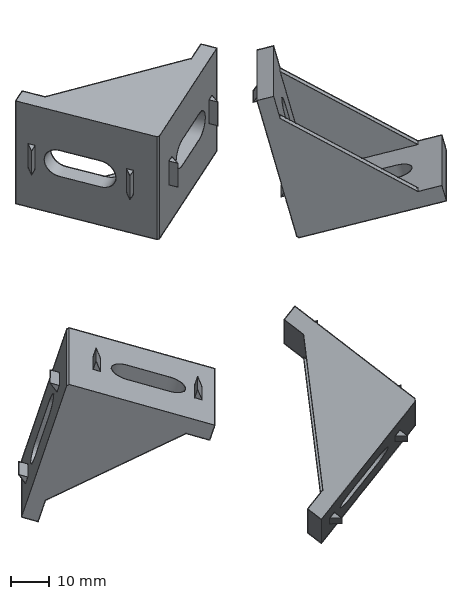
import cadquery as cq

overall = 42.5
height = 34.0
tooth_depth = 2.5
leg_thickness = 4.5
gusset_thickness = 2.5
gusset_setback = 6.4
corner_chamfer = 0.5

slot_length = 20.0
slot_width = 8.6
slot_setback = 18.0

tooth_setback = 3.5
tooth_width = 2.0
tooth_height = 7.85
tooth_pitch = 27.5

leg_length = overall - tooth_depth
half_height = height / 2


def make_tooth(start_x):
    """Wedge on the outer face, sloping out to an edge on its corner side."""
    edge_x = start_x + tooth_width
    return (
        cq.Workplane("XY")
        .polyline([(start_x, 0), (edge_x, 0), (edge_x, -tooth_depth)])
        .close()
        .extrude(tooth_height / 2, both=True)
    )


def make_leg():
    """Leg along -X with its outer face on Y = 0, slotted and toothed."""
    leg = cq.Workplane("XY").box(
        leg_length, leg_thickness, height, centered=(False, False, True)
    ).translate((-leg_length, 0, 0))
    slot = (
        cq.Workplane("XZ")
        .center(-leg_length + slot_setback, 0)
        .slot2D(slot_length, slot_width)
        .extrude(-leg_thickness)
    )
    leg = leg.cut(slot)
    for index in range(2):
        leg = leg.union(make_tooth(-leg_length + tooth_setback + index * tooth_pitch))
    return leg


def make_gusset(bottom_z):
    """Flat web joining the inner faces of both legs."""
    inner = leg_thickness
    reach = leg_length - gusset_setback
    return (
        cq.Workplane("XY", origin=(0, 0, bottom_z))
        .polyline([(-inner, inner), (-reach, inner), (-inner, reach)])
        .close()
        .extrude(gusset_thickness)
    )


def make_corner_cut():
    """Prism that bevels the outer corner where the legs meet."""
    return (
        cq.Workplane("XY")
        .polyline([(0, 0), (-corner_chamfer, 0), (0, corner_chamfer)])
        .close()
        .extrude(half_height, both=True)
    )


first_leg = make_leg()
second_leg = first_leg.rotate((0, 0, 0), (0, 0, 1), 90).mirror("XZ")

result = first_leg.union(second_leg)
for gusset_bottom in (-half_height, half_height - gusset_thickness):
    result = result.union(make_gusset(gusset_bottom))
result = result.cut(make_corner_cut())